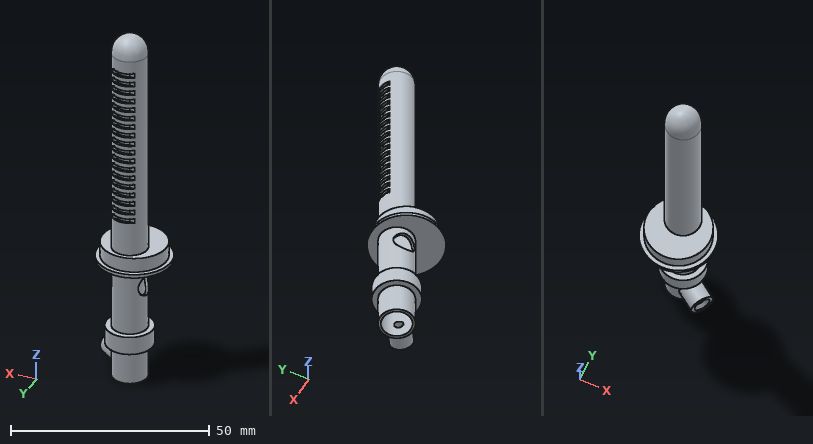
import cadquery as cq
import math

total_height = 99.52
rod_diameter = 9.5
bore_diameter = 8.0
rod_offset_y = 2.8
dome_height = 5.25
dome_shoulder_radius = 2.6
dome_shoulder_drop = 0.9
rod_radius = rod_diameter / 2
bore_radius = bore_diameter / 2
dome_base_z = total_height - dome_height

cross_hole_diameter = 6.0
cross_hole_z = 27.5

notch_count = 18
notch_pitch = 2.5
notch_height = 1.2
notch_depth = 1.1
lowest_notch_z = 47.6

spigot_diameter = 6.4
spigot_length = 9.65
spigot_angle = math.radians(-36)
spigot_direction = cq.Vector(math.cos(spigot_angle), math.sin(spigot_angle), 0)
spigot_z = 4.45
passage_diameter = 2.38
countersink_diameter = 4.4
countersink_depth = 1.1

flange_rim_diameter = 20.0
flange_rim_height = 1.0
flange_hub_diameter = 17.5
flange_hub_height = 4.0
flange_z = 32.55

collar_diameter = 12.7
collar_height = 5.0
collar_z = 9.52


def cylinder(diameter, height, base_z, center_y):
    """Vertical cylinder centred on x = 0."""
    return cq.Workplane("XY", origin=(0, center_y, base_z)).circle(diameter / 2).extrude(height)


def make_rod_blank():
    """Solid rod standing on z = 0, ending in a smooth dome a little taller than a hemisphere."""
    profile = (
        cq.Workplane("XZ", origin=(0, rod_offset_y, 0))
        .lineTo(rod_radius, 0)
        .lineTo(rod_radius, dome_base_z)
        .spline(
            [(dome_shoulder_radius, total_height - dome_shoulder_drop), (0, total_height)],
            tangents=[(0, 1), (-1, 0)],
            includeCurrent=True,
        )
        .close()
    )
    return profile.revolve(360, (0, 0, 0), (0, 1, 0))


def make_rod_bore():
    """Blind bore, open at the foot of the rod, with a hemispherical end inside the dome."""
    bore = cylinder(bore_diameter, dome_base_z, 0, rod_offset_y)
    bore_end = cq.Workplane("XY", origin=(0, rod_offset_y, dome_base_z)).sphere(bore_radius)
    return bore.union(bore_end)


def spigot_point(distance):
    """Point on the spigot axis at a given distance from the rod axis."""
    return cq.Vector(0, rod_offset_y, spigot_z) + spigot_direction * distance


def spigot_cylinder(diameter):
    """Cylinder along the spigot axis, from the rod axis to the mouth of the spigot."""
    return cq.Solid.makeCylinder(diameter / 2, spigot_length, spigot_point(0), spigot_direction)


def add_spigot(rod):
    return rod.union(cq.Workplane(spigot_cylinder(spigot_diameter)))


def cut_spigot_passage(rod):
    countersink = cq.Solid.makeCone(
        passage_diameter / 2,
        countersink_diameter / 2,
        countersink_depth,
        spigot_point(spigot_length - countersink_depth),
        spigot_direction,
    )
    return rod.cut(cq.Workplane(spigot_cylinder(passage_diameter))).cut(cq.Workplane(countersink))


def cut_cross_hole(rod):
    cross_hole = (
        cq.Workplane("YZ", origin=(0, rod_offset_y, cross_hole_z))
        .circle(cross_hole_diameter / 2)
        .extrude(rod_radius, both=True)
    )
    return rod.cut(cross_hole)


def cut_notches(rod):
    notch_center_y = rod_offset_y + rod_radius - notch_depth / 2
    notch = cq.Workplane("XY").box(rod_diameter, notch_depth, notch_height)
    for index in range(notch_count):
        notch_z = lowest_notch_z + index * notch_pitch
        rod = rod.cut(notch.translate((0, notch_center_y, notch_z)))
    return rod


def make_rod():
    rod = add_spigot(make_rod_blank())
    rod = rod.cut(make_rod_bore())
    rod = cut_spigot_passage(rod)
    rod = cut_cross_hole(rod)
    return cut_notches(rod)


def make_flange():
    rim = cylinder(flange_rim_diameter, flange_rim_height, flange_z, 0)
    hub = cylinder(flange_hub_diameter, flange_hub_height, flange_z + flange_rim_height, 0)
    rod_hole = cylinder(rod_diameter, flange_rim_height + flange_hub_height, flange_z, rod_offset_y)
    return rim.union(hub).cut(rod_hole)


def make_collar():
    ring = cylinder(collar_diameter, collar_height, collar_z, rod_offset_y)
    return ring.cut(cylinder(rod_diameter, collar_height, collar_z, rod_offset_y))


rod = make_rod()
flange = make_flange()
collar = make_collar()

result = cq.Compound.makeCompound([rod.val(), flange.val(), collar.val()])